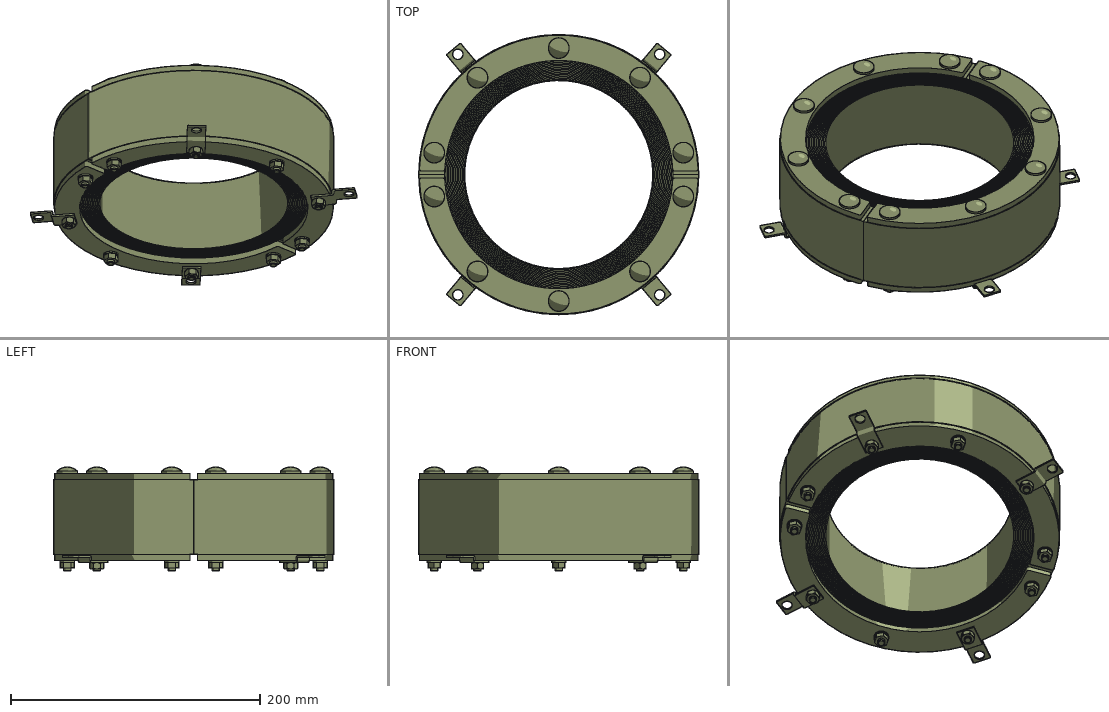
import cadquery as cq
import math

DRUM_RADIUS = 112.5
DRUM_HEIGHT = 60.0
BORE_RADIUS = 75.4
LAYER_THICKNESS = 1.01
LAYER_COUNT = 16
LAYER_RELIEF = 0.2
SEAM_WIDTH = 0.11
SEAM_DEPTH = 0.2
LINING_RADIUS = BORE_RADIUS + LAYER_COUNT * LAYER_THICKNESS

PLATE_RADIUS = 111.8
PLATE_THICKNESS = 5.0
PLATE_GAP = 5.6
PLATE_CORNER_RADIUS = 1.5

BOLT_CIRCLE_RADIUS = 101.5
BOLT_ANGLES = [10, 50, 90, 130, 170, 190, 230, 270, 310, 350]
BRACKET_ANGLES = [50, 130, 230, 310]
HEAD_DIAMETER = 16.6
HEAD_RIM_HEIGHT = 1.8
DOME_DIAMETER = 16.5
DOME_HEIGHT = 3.4
SHANK_DIAMETER = 6.0
SHANK_PROJECTION = 8.5
SHANK_TIP_CHAMFER = 0.7
WASHER_DIAMETER = 12.0
WASHER_THICKNESS = 1.4
NUT_ACROSS_FLATS = 10.0
NUT_ACROSS_CORNERS = NUT_ACROSS_FLATS / math.cos(math.pi / 6)
NUT_HEIGHT = 4.5
BRACKET_NUT_HEIGHT = 5.2
NUT_CHAMFER_HEIGHT = 1.0

BRACKET_WIDTH = 14.8
BRACKET_THICKNESS = 1.5
BRACKET_INNER_RADIUS = 96.0
BRACKET_WALL_RADIUS = 113.5
BRACKET_OUTER_RADIUS = 131.6
BRACKET_RISE = 4.0
BRACKET_INNER_BEND_RADIUS = 0.5
BRACKET_CORNER_RADIUS = 1.0
BRACKET_HOLE_DIAMETER = 8.0
BRACKET_HOLE_RADIUS = 126.0

DRUM_TOP = DRUM_HEIGHT / 2
DRUM_BOTTOM = -DRUM_TOP
PLATE_TOP = DRUM_TOP + PLATE_THICKNESS
PLATE_BOTTOM = DRUM_BOTTOM - PLATE_THICKNESS
WASHER_BOTTOM = PLATE_BOTTOM - WASHER_THICKNESS
BRACKET_BOTTOM = PLATE_BOTTOM - BRACKET_THICKNESS
SHANK_BOTTOM = PLATE_BOTTOM - SHANK_PROJECTION


def tube(outer_radius, inner_radius, bottom, height):
    """Upright ring around the Z axis."""
    return cq.Workplane("XY", origin=(0, 0, bottom)).circle(outer_radius).circle(inner_radius).extrude(height)


def disc(diameter, bottom, height):
    """Upright cylinder on the Z axis."""
    return cq.Workplane("XY", origin=(0, 0, bottom)).circle(diameter / 2).extrude(height)


def drum():
    body = tube(DRUM_RADIUS, BORE_RADIUS, DRUM_BOTTOM, DRUM_HEIGHT)
    for layer in range(1, LAYER_COUNT, 2):
        inner = BORE_RADIUS + layer * LAYER_THICKNESS
        outer = inner + LAYER_THICKNESS
        for bottom in (DRUM_TOP - LAYER_RELIEF, DRUM_BOTTOM):
            body = body.cut(tube(outer, inner, bottom, LAYER_RELIEF))
    return body.cut(parting_seam())


def parting_seam():
    """Shallow line where the two halves of the outer shell meet."""
    slab = cq.Workplane("XY").box(2 * DRUM_RADIUS, SEAM_WIDTH, DRUM_HEIGHT)
    core_height = DRUM_HEIGHT - 2 * SEAM_DEPTH
    core = tube(DRUM_RADIUS - SEAM_DEPTH, LINING_RADIUS, -core_height / 2, core_height)
    lining = disc(2 * LINING_RADIUS, DRUM_BOTTOM, DRUM_HEIGHT)
    return slab.cut(core).cut(lining)


def split_plate(bottom):
    ring = tube(PLATE_RADIUS, LINING_RADIUS, bottom, PLATE_THICKNESS)
    gap = cq.Workplane("XY", origin=(0, 0, bottom)).rect(2 * DRUM_RADIUS, PLATE_GAP)
    return ring.cut(gap.extrude(PLATE_THICKNESS)).edges("|Z").fillet(PLATE_CORNER_RADIUS)


def bolt_head():
    rim = disc(HEAD_DIAMETER, PLATE_TOP, HEAD_RIM_HEIGHT)
    dome_base = PLATE_TOP + HEAD_RIM_HEIGHT
    half_chord = DOME_DIAMETER / 2
    sphere_radius = (half_chord**2 + DOME_HEIGHT**2) / (2 * DOME_HEIGHT)
    sphere_centre = dome_base + DOME_HEIGHT - sphere_radius
    sphere = cq.Workplane("XY", origin=(0, 0, sphere_centre)).sphere(sphere_radius)
    dome = sphere.intersect(disc(HEAD_DIAMETER, dome_base, DOME_HEIGHT))
    return rim.union(dome)


def nut(top, height):
    """Hexagon nut hanging below the given level, with two corners on the Y axis."""
    hexagon = cq.Workplane("XY", origin=(0, 0, top - height)).transformed(rotate=(0, 0, 90))
    return hexagon.polygon(6, NUT_ACROSS_CORNERS).extrude(height)


def chamfered_nut(top, height):
    """Hexagon nut with its corners turned off at both ends."""
    run = (NUT_ACROSS_CORNERS - NUT_ACROSS_FLATS) / 2
    turned = disc(NUT_ACROSS_CORNERS, top - height, height)
    turned = turned.faces("<Z").chamfer(NUT_CHAMFER_HEIGHT, run)
    turned = turned.faces(">Z").chamfer(NUT_CHAMFER_HEIGHT, run)
    return nut(top, height).intersect(turned)


def bolt(angle):
    shank = disc(SHANK_DIAMETER, SHANK_BOTTOM, PLATE_TOP - SHANK_BOTTOM)
    shank = shank.faces("<Z").chamfer(SHANK_TIP_CHAMFER)
    if angle in BRACKET_ANGLES:
        fastener = bolt_head().union(shank).union(chamfered_nut(BRACKET_BOTTOM, BRACKET_NUT_HEIGHT))
    else:
        washer = disc(WASHER_DIAMETER, WASHER_BOTTOM, WASHER_THICKNESS)
        fastener = bolt_head().union(shank).union(washer).union(nut(WASHER_BOTTOM, NUT_HEIGHT))
    x = BOLT_CIRCLE_RADIUS * math.cos(math.radians(angle))
    y = BOLT_CIRCLE_RADIUS * math.sin(math.radians(angle))
    return fastener.translate((x, y, 0))


def bracket(angle):
    low = BRACKET_BOTTOM
    high = low + BRACKET_RISE
    wall_inner = BRACKET_WALL_RADIUS
    wall_outer = wall_inner + BRACKET_THICKNESS
    profile = [
        (BRACKET_INNER_RADIUS, low),
        (wall_outer, low),
        (wall_outer, high),
        (BRACKET_OUTER_RADIUS, high),
        (BRACKET_OUTER_RADIUS, high + BRACKET_THICKNESS),
        (wall_inner, high + BRACKET_THICKNESS),
        (wall_inner, low + BRACKET_THICKNESS),
        (BRACKET_INNER_RADIUS, low + BRACKET_THICKNESS),
    ]
    strap = cq.Workplane("XZ").polyline(profile).close().extrude(BRACKET_WIDTH / 2, both=True)
    outer_bend_radius = BRACKET_INNER_BEND_RADIUS + BRACKET_THICKNESS
    bends = [
        (wall_outer, low, outer_bend_radius),
        (wall_inner, high + BRACKET_THICKNESS, outer_bend_radius),
        (wall_inner, low + BRACKET_THICKNESS, BRACKET_INNER_BEND_RADIUS),
        (wall_outer, high, BRACKET_INNER_BEND_RADIUS),
    ]
    for radius_out, level, bend_radius in bends:
        corner = cq.selectors.NearestToPointSelector((radius_out, 0, level))
        strap = strap.edges(corner).fillet(bend_radius)
    strap = strap.faces(">X").edges("|Z").fillet(BRACKET_CORNER_RADIUS)
    hole = disc(BRACKET_HOLE_DIAMETER, high, BRACKET_THICKNESS).translate((BRACKET_HOLE_RADIUS, 0, 0))
    return strap.cut(hole).rotate((0, 0, 0), (0, 0, 1), angle)


result = drum()
for plate_level in (DRUM_TOP, PLATE_BOTTOM):
    result = result.union(split_plate(plate_level))
for bracket_angle in BRACKET_ANGLES:
    result = result.union(bracket(bracket_angle))
for bolt_angle in BOLT_ANGLES:
    result = result.union(bolt(bolt_angle))